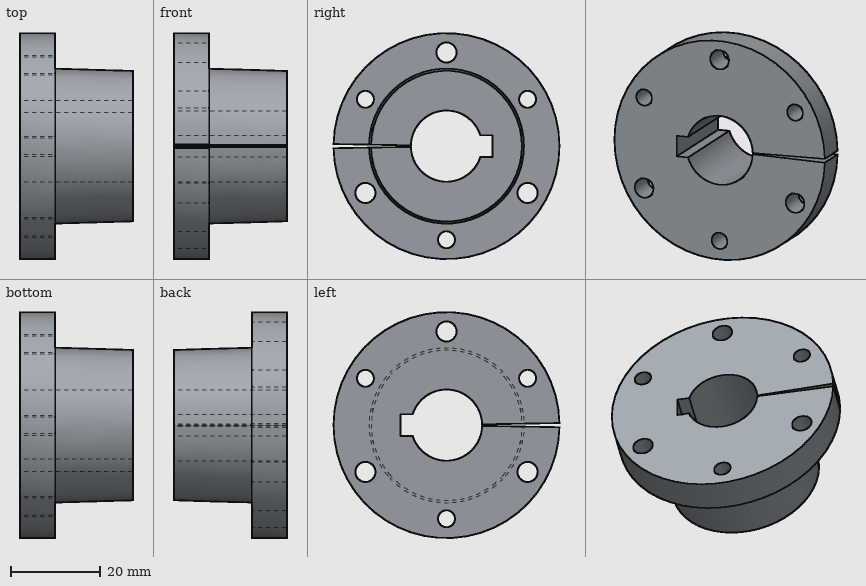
import cadquery as cq
import math

flange_diameter = 50.8
flange_thickness = 7.9
total_length = 25.4

hub_base_diameter = 34.85
hub_end_diameter = 33.85

bore_diameter = 15.95
keyway_width = 4.8
keyway_reach = 10.3

slit_angle = 2.0

bolt_circle_diameter = 42.05
holes_per_set = 3
large_hole_diameter = 4.45
small_hole_diameter = 3.75
large_start_angle = 90.0
small_start_angle = large_start_angle + 180.0 / holes_per_set


def flange_holes(diameter, start_angle):
    """Evenly spaced cutters through the flange thickness."""
    radius = bolt_circle_diameter / 2
    centers = []
    for index in range(holes_per_set):
        angle = math.radians(start_angle + index * 360.0 / holes_per_set)
        centers.append((radius * math.cos(angle), radius * math.sin(angle)))
    return cq.Workplane("YZ").pushPoints(centers).circle(diameter / 2).extrude(flange_thickness)


def keyway():
    """Full-length cutter from the axis out to the keyway floor."""
    return (
        cq.Workplane("YZ")
        .center(keyway_reach / 2, 0)
        .rect(keyway_reach, keyway_width)
        .extrude(total_length)
    )


def slit():
    """Full-length wedge that opens from the axis toward -Y, past the rim."""
    reach = flange_diameter
    half_width = reach * math.tan(math.radians(slit_angle / 2))
    return (
        cq.Workplane("YZ")
        .polyline([(0, 0), (-reach, half_width), (-reach, -half_width)])
        .close()
        .extrude(total_length)
    )


body = (
    cq.Workplane("XY")
    .polyline([
        (0, 0),
        (0, flange_diameter / 2),
        (flange_thickness, flange_diameter / 2),
        (flange_thickness, hub_base_diameter / 2),
        (total_length, hub_end_diameter / 2),
        (total_length, 0),
    ])
    .close()
    .revolve(360, (0, 0, 0), (1, 0, 0))
)

bore = cq.Workplane("YZ").circle(bore_diameter / 2).extrude(total_length)

result = (
    body.cut(bore)
    .cut(keyway())
    .cut(slit())
    .cut(flange_holes(large_hole_diameter, large_start_angle))
    .cut(flange_holes(small_hole_diameter, small_start_angle))
)